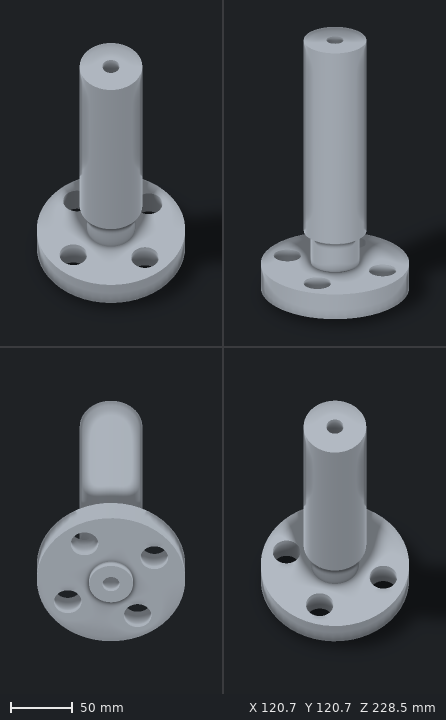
import cadquery as cq

total_height = 228.5

flange_diameter = 120.7
flange_thickness = 22.2
face_diameter = 35.7
face_height = 6.5

bolt_circle_diameter = 82.5
bolt_hole_diameter = 22.5
bolt_hole_count = 4

neck_diameter = 39.5
neck_chamfer = 1.1
shoulder_z = 54.0

barrel_diameter = 51.0
barrel_base_z = 57.5

bore_diameter = 14.0

flange_top_z = face_height + flange_thickness


def make_body():
    """Revolve the outer profile about the Z axis."""
    face_radius = face_diameter / 2
    flange_radius = flange_diameter / 2
    neck_radius = neck_diameter / 2
    barrel_radius = barrel_diameter / 2
    return (
        cq.Workplane("XZ")
        .polyline([
            (0, 0),
            (face_radius, 0),
            (face_radius, face_height),
            (flange_radius, face_height),
            (flange_radius, flange_top_z),
            (neck_radius - neck_chamfer, flange_top_z),
            (neck_radius, flange_top_z + neck_chamfer),
            (neck_radius, shoulder_z),
            (barrel_radius, barrel_base_z),
            (barrel_radius, total_height),
            (0, total_height),
        ])
        .close()
        .revolve(360, (0, 0), (0, 1))
    )


def make_bolt_holes():
    return (
        cq.Workplane("XY")
        .polarArray(bolt_circle_diameter / 2, 0, 360, bolt_hole_count)
        .circle(bolt_hole_diameter / 2)
        .extrude(flange_top_z)
    )


def make_bore():
    return cq.Workplane("XY").circle(bore_diameter / 2).extrude(total_height)


result = make_body().cut(make_bolt_holes()).cut(make_bore())